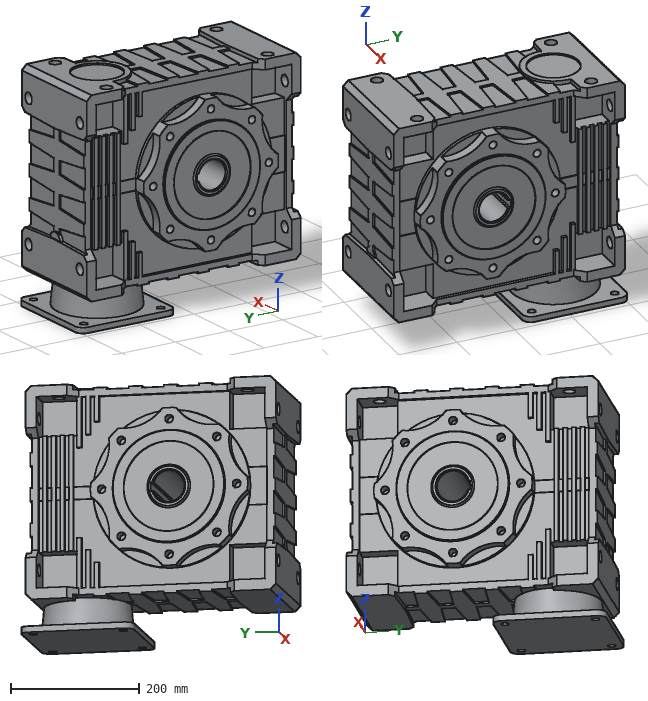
import cadquery as cq


OVERALL_DEPTH = 410.0
OVERALL_HEIGHT = 391.5
OVERALL_WIDTH = 200.0
SHAFT_DISTANCE = 150.0
FLANGE_SIDE = 180.0
HOUSING_HEIGHT = 340.0
HOUSING_BACK = 230.0

TOP = HOUSING_HEIGHT / 2
FRONT = SHAFT_DISTANCE + FLANGE_SIDE / 2 - OVERALL_DEPTH
MID_Y = (FRONT + HOUSING_BACK) / 2
FLANGE_BOTTOM = TOP - OVERALL_HEIGHT
REACH = 2 * OVERALL_DEPTH

BODY_WIDTH = 155.0
BLOCK_WIDTH = 185.0
EDGE_CHAMFER = 9.0
BLOCK_EDGE = 91.5
BACK_BLOCK_EDGE = 152.5
BLOCK_EDGE_SLANT = 3.5
SLOPE_FOOT = 89.0
SLOPE_TOP = 103.5
BACK_SLOPE_FOOT = 148.0
BACK_SLOPE_TOP = 164.5
BODY_SETBACK = 4.0

RECESS_DEPTH = 3.0
RECESS_PITCH = 56.0
RECESS_INNER_X = 8.0
RECESS_INNER_HEIGHT = 23.0
RECESS_OUTER_HEIGHT = 35.3
PLUG_PAD_RADIUS = 14.8
PLUG_PAD_Z = -94.5
BACK_PAD_RISE = 2.5

RIM = 17.5
PANEL_DEPTH = 6.0
PANEL_X = BODY_WIDTH / 2 - PANEL_DEPTH
WEB_RISE = 1.5
FRONT_WEB_HEIGHT = 60.3
BACK_WEB_HEIGHT = 20.0
POCKET_FLOOR_X = 45.5
POCKET_HEIGHT = 60.3
FRONT_POCKET_DEPTH = 60.3
BACK_POCKET_DEPTH = 61.5
FIN_THICKNESS = 7.0
FIN_PITCH = 14.0
LONG_FIN_COUNT = 4
FIRST_FIN_GAP = 6.5
SHORT_FIN_LENGTHS = (80.5, 60.3, 40.0)

MOUNT_HOLE_DIAMETER = 19.3
MOUNT_HOLE_X = 73.0
MOUNT_HOLE_INSET = 49.5

DISC_WIDTH = 191.5
DISC_RADIUS = 125.5
SCALLOP_COUNT = 8
SCALLOP_RADIUS = 74.5
SCALLOP_CENTRE = 184.0
DISC_HOLE_CIRCLE = 108.0
DISC_HOLE_DIAMETER = 12.7
DISC_HOLE_DEPTH = 20.5
PILOT_RADIUS = 89.8
PILOT_CHAMFER = 1.2
PILOT_RECESS_RADIUS = 71.8
PILOT_RECESS_DEPTH = 2.0
SHAFT_RADIUS = 34.5
SHAFT_CHAMFER = 3.0
BORE_RADIUS = 25.0
BORE_CHAMFER = 2.0
KEYWAY_WIDTH = 14.0
KEYWAY_REACH = 28.3

BOSS_RADIUS = 53.5
CAP_RADIUS = 42.5
CAP_DEPTH = 3.0

FLANGE_THICKNESS = 10.0
FLANGE_CORNER = 15.0
FLANGE_HOLE_SPACING = 143.5
FLANGE_HOLE_DIAMETER = 12.5
NECK_BASE_RADIUS = 73.0
NECK_TOP_RADIUS = 68.5


def box(x_range, y_range, z_range):
    """Box between the given (low, high) limits."""
    sizes = [high - low for low, high in (x_range, y_range, z_range)]
    corner = (x_range[0], y_range[0], z_range[0])
    return cq.Workplane("XY").box(*sizes, centered=False).translate(corner)


def x_cylinder(radius, x_start, x_end):
    """Cylinder around the output axis."""
    return cq.Workplane("YZ", origin=(x_start, 0, 0)).circle(radius).extrude(x_end - x_start)


def both_sides(shape):
    """The shape together with its mirror image on the other X side."""
    return shape.union(shape.mirror("YZ"))


def housing_envelope(width):
    """Housing outline with its four long edges chamfered."""
    return (
        box((-width / 2, width / 2), (FRONT, HOUSING_BACK), (-TOP, TOP))
        .edges("|X").chamfer(EDGE_CHAMFER)
    )


def slope_profile(plane, foot, top, end):
    """Prism of one block square to a face, widening from `foot` to `top` and full up to `end`."""
    body_x, block_x = BODY_WIDTH / 2, BLOCK_WIDTH / 2
    return (
        cq.Workplane(plane)
        .polyline([(-body_x, foot), (-block_x, top), (-block_x, end),
                   (block_x, end), (block_x, top), (body_x, foot)])
        .close().extrude(REACH, both=True)
    )


def corner_blocks():
    """The four blocks that are wider than the body, one along each long edge."""
    envelope = housing_envelope(BLOCK_WIDTH)
    blocks = []
    y_slopes = (
        (-SLOPE_FOOT, -SLOPE_TOP, FRONT),
        (BACK_SLOPE_FOOT, BACK_SLOPE_TOP, HOUSING_BACK),
    )
    z_slopes = (
        (-SLOPE_FOOT, -SLOPE_TOP, -TOP),
        (SLOPE_FOOT, SLOPE_TOP, TOP),
    )
    for y_slope in y_slopes:
        for z_slope in z_slopes:
            across_y = slope_profile("XY", *y_slope)
            across_z = slope_profile("XZ", *z_slope)
            blocks.append(envelope.intersect(across_y).intersect(across_z))
    return blocks


def core(setback):
    """Everything that lies deeper than `setback` below the front, back, top and bottom."""
    return box((-REACH, REACH), (FRONT + setback, HOUSING_BACK - setback),
               (-TOP + setback, TOP - setback))


def between_blocks(plane, low, high):
    """Prism between two facing block edges, which slant back from mid width to the sides."""
    half = BLOCK_WIDTH / 2
    return (
        cq.Workplane(plane)
        .polyline([(0, low), (half, low - BLOCK_EDGE_SLANT), (half, high + BLOCK_EDGE_SLANT),
                   (0, high), (-half, high + BLOCK_EDGE_SLANT), (-half, low - BLOCK_EDGE_SLANT)])
        .close().extrude(REACH, both=True)
    )


def tapered_recesses(plane, centres):
    """Recess prisms in mirrored pairs, widening from the middle spine to the sides."""
    taper = (RECESS_OUTER_HEIGHT - RECESS_INNER_HEIGHT) / (BODY_WIDTH / 2 - RECESS_INNER_X)
    outer_x = BLOCK_WIDTH / 2
    inner_half = RECESS_INNER_HEIGHT / 2
    outer_half = inner_half + taper * (outer_x - RECESS_INNER_X) / 2
    recesses = cq.Workplane(plane)
    for centre in centres:
        for side in (-1, 1):
            recesses = recesses.polyline([
                (side * RECESS_INNER_X, centre - inner_half),
                (side * outer_x, centre - outer_half),
                (side * outer_x, centre + outer_half),
                (side * RECESS_INNER_X, centre + inner_half),
            ]).close()
    return recesses.extrude(REACH, both=True)


def carve_faces(housing):
    """Sets the four faces back between the blocks and cuts their tapered recesses."""
    y_centres = [MID_Y + i * RECESS_PITCH for i in (-2, -1, 0, 1, 2)]
    z_centres = [i * RECESS_PITCH for i in (-1.5, -0.5, 0.5, 1.5)]
    faces = (
        ("XY", -BLOCK_EDGE, BACK_BLOCK_EDGE, y_centres),
        ("XZ", -BLOCK_EDGE, BLOCK_EDGE, z_centres),
    )
    for plane, low, high, centres in faces:
        zone = between_blocks(plane, low, high)
        recesses = tapered_recesses(plane, centres).intersect(zone)
        housing = housing.cut(zone.cut(core(BODY_SETBACK)))
        housing = housing.cut(recesses.cut(core(BODY_SETBACK + RECESS_DEPTH)))
    return housing


def plug_pads():
    """Round pads at the lower block edges: level with the front ribs, raised at the back."""
    start = FRONT + BODY_SETBACK
    end = HOUSING_BACK - BODY_SETBACK + BACK_PAD_RISE
    return (
        cq.Workplane("XZ", origin=(0, start, PLUG_PAD_Z))
        .circle(PLUG_PAD_RADIUS).extrude(start - end)
    )


def worm_boss():
    """Bearing boss around the worm axis, joined straight into the back blocks."""
    round_part = (
        cq.Workplane("XY").center(0, SHAFT_DISTANCE)
        .circle(BOSS_RADIUS).extrude(TOP, both=True)
    )
    neck = box((-BOSS_RADIUS, BOSS_RADIUS),
               (SHAFT_DISTANCE, BACK_BLOCK_EDGE + BLOCK_EDGE_SLANT), (-TOP, TOP))
    return round_part.union(neck)


def cap_recess():
    """Shallow round recess in the top of the worm boss."""
    return (
        cq.Workplane("XY", origin=(0, SHAFT_DISTANCE, TOP - CAP_DEPTH))
        .circle(CAP_RADIUS).extrude(CAP_DEPTH)
    )


PANEL_FRONT = FRONT + RIM
PANEL_BACK = HOUSING_BACK - RIM
PANEL_TOP = TOP - RIM
POCKET_BOTTOM = PANEL_TOP - POCKET_HEIGHT
BACK_POCKET_FRONT = PANEL_BACK - BACK_POCKET_DEPTH


def panel_recess():
    """Shallow recess that sets one side panel below its rim."""
    return box((PANEL_X, REACH), (PANEL_FRONT, PANEL_BACK), (-PANEL_TOP, PANEL_TOP))


def corner_pockets():
    """Deep pockets behind the mounting faces of the four blocks."""
    y_ranges = ((PANEL_FRONT, PANEL_FRONT + FRONT_POCKET_DEPTH), (BACK_POCKET_FRONT, PANEL_BACK))
    z_ranges = ((-PANEL_TOP, -POCKET_BOTTOM), (POCKET_BOTTOM, PANEL_TOP))
    return [box((POCKET_FLOOR_X, REACH), y, z) for y in y_ranges for z in z_ranges]


def panel_webs():
    """Low webs that join the output disc to the front and back rims."""
    web_x = (POCKET_FLOOR_X, PANEL_X + WEB_RISE)
    front_half, back_half = FRONT_WEB_HEIGHT / 2, BACK_WEB_HEIGHT / 2
    front_web = box(web_x, (PANEL_FRONT, 0), (-front_half, front_half))
    back_web = box(web_x, (0, PANEL_BACK), (-back_half, back_half))
    return front_web.union(back_web)


def cooling_fins():
    """Long fins between the back pockets and stepped short fins beside them."""
    fin_x = (POCKET_FLOOR_X, BODY_WIDTH / 2)
    fins = []
    for i in range(LONG_FIN_COUNT):
        back = PANEL_BACK - FIRST_FIN_GAP - i * FIN_PITCH
        fins.append(box(fin_x, (back - FIN_THICKNESS, back), (-POCKET_BOTTOM, POCKET_BOTTOM)))
    for i, length in enumerate(SHORT_FIN_LENGTHS):
        back = BACK_POCKET_FRONT - i * FIN_PITCH
        y_range = (back - FIN_THICKNESS, back)
        fins.append(box(fin_x, y_range, (PANEL_TOP - length, PANEL_TOP)))
        fins.append(box(fin_x, y_range, (-PANEL_TOP, length - PANEL_TOP)))
    return fins


def output_disc():
    """Scalloped disc with its bolt holes, standing on a plain round base."""
    scallops = (
        cq.Workplane("YZ", origin=(BODY_WIDTH / 2, 0, 0))
        .polarArray(SCALLOP_CENTRE, 180 / SCALLOP_COUNT, 360, SCALLOP_COUNT)
        .circle(SCALLOP_RADIUS).extrude(DISC_WIDTH)
    )
    holes = (
        cq.Workplane("YZ", origin=(DISC_WIDTH / 2 - DISC_HOLE_DEPTH, 0, 0))
        .polarArray(DISC_HOLE_CIRCLE, 0, 360, SCALLOP_COUNT)
        .circle(DISC_HOLE_DIAMETER / 2).extrude(DISC_HOLE_DEPTH)
    )
    disc = x_cylinder(DISC_RADIUS, POCKET_FLOOR_X, DISC_WIDTH / 2)
    return disc.cut(scallops).cut(holes)


def pilot_and_shaft_end():
    """Raised pilot ring with a shallow recess around the chamfered end of the hollow shaft."""
    face = OVERALL_WIDTH / 2
    recess_floor = face - PILOT_RECESS_DEPTH
    pilot = x_cylinder(PILOT_RADIUS, PANEL_X, face).faces(">X").chamfer(PILOT_CHAMFER)
    recess = x_cylinder(PILOT_RECESS_RADIUS, recess_floor, face)
    shaft_end = x_cylinder(SHAFT_RADIUS, PANEL_X, face)
    shaft_end = shaft_end.faces(">X").chamfer(PILOT_RECESS_DEPTH, SHAFT_CHAMFER)
    return pilot.cut(recess).union(shaft_end)


def output_bore():
    """Through bore with chamfered ends and a keyway towards the worm."""
    face = OVERALL_WIDTH / 2
    bore = x_cylinder(BORE_RADIUS, -face, face)
    mouth = cq.Workplane("XY").add(cq.Solid.makeCone(
        BORE_RADIUS, BORE_RADIUS + BORE_CHAMFER, BORE_CHAMFER,
        cq.Vector(face - BORE_CHAMFER, 0, 0), cq.Vector(1, 0, 0)))
    keyway = box((-face, face), (0, KEYWAY_REACH), (-KEYWAY_WIDTH / 2, KEYWAY_WIDTH / 2))
    return bore.union(both_sides(mouth)).union(keyway)


def mounting_holes():
    """Holes through the front, back and top block walls into the corner pockets."""
    hole_y = (FRONT + MOUNT_HOLE_INSET, HOUSING_BACK - MOUNT_HOLE_INSET)
    hole_z = (-TOP + MOUNT_HOLE_INSET, TOP - MOUNT_HOLE_INSET)
    sides = (-MOUNT_HOLE_X, MOUNT_HOLE_X)
    radius = MOUNT_HOLE_DIAMETER / 2
    upright = (
        cq.Workplane("XY").pushPoints([(x, y) for x in sides for y in hole_y])
        .circle(radius).extrude(REACH)
    )
    level = (
        cq.Workplane("XZ").pushPoints([(x, z) for x in sides for z in hole_z])
        .circle(radius).extrude(REACH, both=True)
    )
    wall_inside = box((-REACH, REACH), (PANEL_FRONT, PANEL_BACK), (-PANEL_TOP, PANEL_TOP))
    return upright.union(level).cut(wall_inside)


def make_motor_flange():
    """Square plate with a conical neck that seats on the underside of the housing body."""
    plate = (
        cq.Workplane("XY", origin=(0, SHAFT_DISTANCE, FLANGE_BOTTOM))
        .rect(FLANGE_SIDE, FLANGE_SIDE).extrude(FLANGE_THICKNESS)
        .edges("|Z").fillet(FLANGE_CORNER)
        .faces(">Z").workplane(origin=(0, SHAFT_DISTANCE, 0))
        .rect(FLANGE_HOLE_SPACING, FLANGE_HOLE_SPACING, forConstruction=True)
        .vertices().hole(FLANGE_HOLE_DIAMETER)
    )
    neck_base = FLANGE_BOTTOM + FLANGE_THICKNESS
    neck_height = BODY_SETBACK - TOP - neck_base
    neck = cq.Solid.makeCone(NECK_BASE_RADIUS, NECK_TOP_RADIUS, neck_height,
                             cq.Vector(0, SHAFT_DISTANCE, neck_base))
    return plate.union(cq.Workplane("XY").add(neck))


def make_housing(flange):
    """Complete gearbox housing, recessed underneath where the motor flange seats."""
    housing = housing_envelope(BODY_WIDTH)
    for block in corner_blocks():
        housing = housing.union(block)
    housing = carve_faces(housing)
    housing = housing.union(plug_pads()).union(worm_boss()).cut(cap_recess())

    housing = housing.cut(both_sides(panel_recess()))
    housing = housing.union(both_sides(panel_webs()))
    for pocket in corner_pockets():
        housing = housing.cut(both_sides(pocket))
    for fin in cooling_fins():
        housing = housing.union(both_sides(fin))
    housing = housing.union(both_sides(output_disc()))
    housing = housing.union(both_sides(pilot_and_shaft_end()))

    housing = housing.cut(mounting_holes())
    housing = housing.cut(output_bore())
    return housing.cut(flange)


motor_flange = make_motor_flange()
housing = make_housing(motor_flange)

result = cq.Compound.makeCompound([housing.solids().val(), motor_flange.solids().val()])